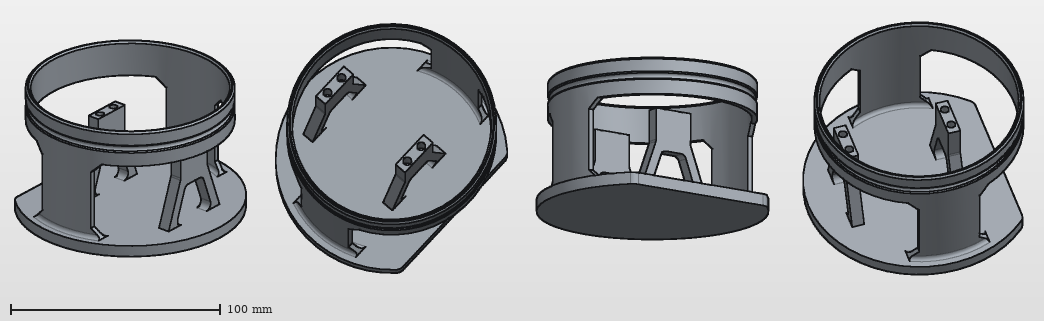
import cadquery as cq
import math

base_radius = 55.4
base_thickness = 5.8
flat_offset = 40.0
flat_corner_radius = 5.0

total_height = 63.5
ring_outer_radius = 100.0 / 2
ring_inner_radius = 95.0 / 2
ring_height = 18.0
rim_chamfer = 1.0
ring_bottom = total_height - ring_height

groove_bottom = 52.6
groove_width = 4.0
groove_depth = 1.5
lip_chamfer = 0.7

column_half_width = 15.0
column_flare = 5.0
foot_radius = 2.0

bracket_centres_x = (-14.5, 36.5)
bracket_thickness = 6.0
bracket_top = 45.9
bracket_foot_half_width = 19.0
bracket_head_half_width = 10
knee_height = 24.5
knee_radius = 3.0
leg_thickness = 5.0
opening_height = 19.7
opening_radius = 3.0
hole_diameter = 4.0
hole_offset = 5.0
hole_depth = 10


def make_base():
    disc = cq.Workplane("XY").circle(base_radius).extrude(base_thickness)
    kept = cq.Workplane("XY").box(
        flat_offset + base_radius, 2 * base_radius, base_thickness, centered=(False, True, False)
    ).translate((-flat_offset, 0, 0))
    return disc.intersect(kept).faces("<X").edges("|Z").fillet(flat_corner_radius)


def make_tube():
    """Full-height wall with its rim, groove and foot fillets, revolved about Z."""
    foot_middle = foot_radius * (1 - math.sqrt(0.5))
    foot_top = base_thickness + foot_radius
    foot_outer = ring_outer_radius + foot_radius
    foot_inner = ring_inner_radius - foot_radius
    lip_radius = ring_outer_radius - lip_chamfer
    groove_top = groove_bottom + groove_width
    profile = (
        cq.Workplane("XZ")
        .moveTo(foot_inner, base_thickness)
        .lineTo(foot_outer, base_thickness)
        .threePointArc(
            (ring_outer_radius + foot_middle, base_thickness + foot_middle),
            (ring_outer_radius, foot_top),
        )
        .lineTo(ring_outer_radius, groove_bottom)
        .lineTo(lip_radius, groove_bottom + lip_chamfer)
        .threePointArc(
            (ring_outer_radius - groove_depth, groove_bottom + groove_width / 2),
            (lip_radius, groove_top - lip_chamfer),
        )
        .lineTo(ring_outer_radius, groove_top)
        .lineTo(ring_outer_radius, total_height - rim_chamfer)
        .lineTo(ring_outer_radius - rim_chamfer, total_height)
        .lineTo(ring_inner_radius + rim_chamfer, total_height)
        .lineTo(ring_inner_radius, total_height - rim_chamfer)
        .lineTo(ring_inner_radius, foot_top)
        .threePointArc(
            (ring_inner_radius - foot_middle, base_thickness + foot_middle),
            (foot_inner, base_thickness),
        )
        .close()
    )
    return profile.revolve(360, (0, 0, 0), (0, 1, 0))


def make_ring_and_columns():
    """Keep the tube only inside a front silhouette of two flared columns under the ring."""
    flared_half_width = column_half_width + column_flare
    right_side = [
        (flared_half_width, base_thickness),
        (column_half_width, base_thickness + column_flare),
        (column_half_width, ring_bottom - column_flare),
        (flared_half_width, ring_bottom),
        (base_radius, ring_bottom),
        (base_radius, total_height),
    ]
    left_side = [(-x, z) for x, z in reversed(right_side)]
    silhouette = (
        cq.Workplane("XZ").polyline(right_side + left_side).close().extrude(base_radius, both=True)
    )
    return make_tube().intersect(silhouette)


def make_bracket(centre_x):
    knee_z = base_thickness + knee_height
    slope = (bracket_foot_half_width - bracket_head_half_width) / knee_height
    opening_foot = bracket_foot_half_width - leg_thickness * math.hypot(1, slope)
    opening_top = opening_foot - slope * opening_height

    outline = [
        (-bracket_foot_half_width, base_thickness),
        (bracket_foot_half_width, base_thickness),
        (bracket_head_half_width, knee_z),
        (bracket_head_half_width, bracket_top),
        (-bracket_head_half_width, bracket_top),
        (-bracket_head_half_width, knee_z),
    ]
    body = cq.Workplane("YZ").polyline(outline).close().extrude(bracket_thickness / 2, both=True)
    for side in (-1, 1):
        knee = (0, side * bracket_head_half_width, knee_z)
        body = body.edges(cq.NearestToPointSelector(knee)).fillet(knee_radius)

    opening = (
        cq.Workplane("YZ")
        .polyline([
            (-opening_foot, base_thickness),
            (opening_foot, base_thickness),
            (opening_top, base_thickness + opening_height),
            (-opening_top, base_thickness + opening_height),
        ])
        .close()
        .extrude(bracket_thickness / 2, both=True)
        .edges("|X")
        .fillet(opening_radius)
    )
    holes = (
        cq.Workplane("XY", origin=(0, 0, bracket_top))
        .pushPoints([(0, -hole_offset), (0, hole_offset)])
        .circle(hole_diameter / 2)
        .extrude(-hole_depth)
    )
    return body.cut(opening).cut(holes).translate((centre_x, 0, 0))


result = make_base().union(make_ring_and_columns())
for bracket_x in bracket_centres_x:
    result = result.union(make_bracket(bracket_x))